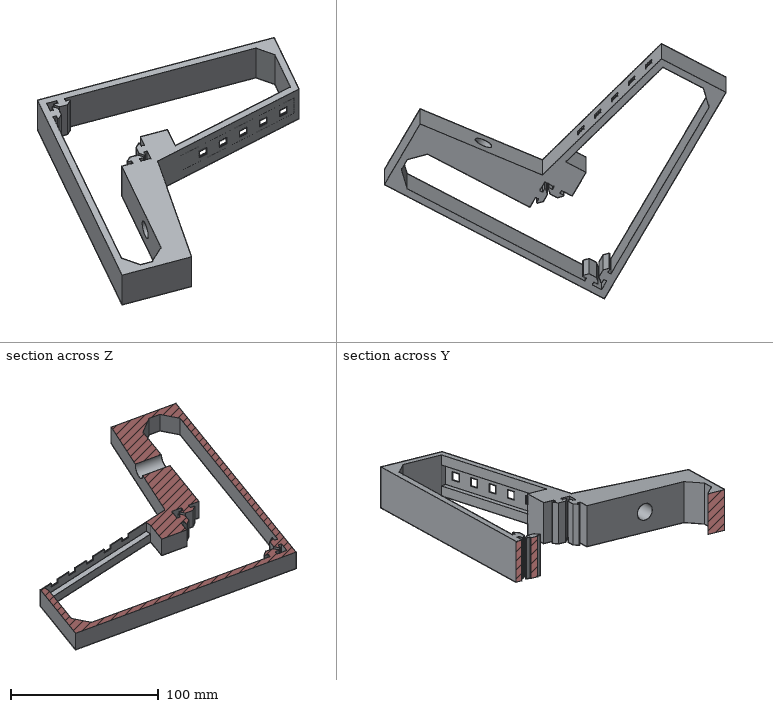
import cadquery as cq
import math

side = 170.0
height = 30.0
wall = 5.0
arm_end = 50.0
elbow_x = 79.9
elbow_y = 57.8
corner_cut = 10.0

block_left = 54.9
block_top = 73.8
block_bottom = 54.2
ledge_left = 76.0
ledge_bottom = 33.3

hook_offset = 10.0
neck_width = 5.8
neck_length = 2.2
head_width = 11.5
head_flat = 5.8
head_depth = 3.7
head_bevel = (head_width - head_flat) / 2
overlap = 0.8

channel_height = 15.3
channel_depth = 4.0
window_size = 6.0
window_count = 5
window_pitch = 16.5
first_window = 9.0

hole_diameter = 12.0
hole_x = 123.2

inner_far = side - wall
slant_length = math.hypot(elbow_x - arm_end, side - elbow_y)
slant_x = (elbow_x - arm_end) / slant_length
slant_y = -(side - elbow_y) / slant_length


def slant_inner_x(y):
    """X of the inner face of the slanted wall at a given Y."""
    outer_x = arm_end + (side - y) * slant_x / -slant_y
    return outer_x - wall / -slant_y


def make_frame():
    outer = [
        (0, 0),
        (side, 0),
        (side, arm_end),
        (elbow_x, elbow_y),
        (arm_end, side),
        (0, side),
    ]
    inner = [
        (wall, wall),
        (inner_far - corner_cut, wall),
        (inner_far, wall + corner_cut),
        (inner_far, ledge_bottom - corner_cut),
        (inner_far - corner_cut, ledge_bottom),
        (ledge_left, ledge_bottom),
        (ledge_left, block_bottom),
        (block_left, block_bottom),
        (block_left, block_top),
        (slant_inner_x(block_top), block_top),
        (slant_inner_x(inner_far), inner_far),
        (wall + corner_cut, inner_far),
        (wall, inner_far - corner_cut),
    ]
    body = cq.Workplane("XY").polyline(outer).close().extrude(height)
    opening = cq.Workplane("XY").polyline(inner).close().extrude(height)
    return body.cut(opening)


def make_hook(x, y, angle):
    """Hook rooted at (x, y); at zero angle it points along +Y."""
    head_top = neck_length + head_depth
    right_half = [
        (neck_width / 2, -overlap),
        (neck_width / 2, neck_length),
        (head_width / 2, neck_length),
        (head_width / 2, head_top - head_bevel),
        (head_flat / 2, head_top),
    ]
    left_half = [(-px, py) for px, py in reversed(right_half)]
    hook = cq.Workplane("XY").polyline(right_half + left_half).close().extrude(height)
    return hook.rotate((0, 0, 0), (0, 0, 1), angle).translate((x, y, 0))


def make_slant_cutters():
    """Channel on the inner face of the slanted wall, with windows through it."""
    start = cq.Vector(slant_inner_x(inner_far), inner_far, height / 2)
    plane = cq.Plane(origin=start, xDir=(slant_x, slant_y, 0), normal=(slant_y, -slant_x, 0))
    channel_length = (inner_far - block_top) / -slant_y
    channel = (
        cq.Workplane(plane)
        .center(channel_length / 2, 0)
        .rect(channel_length, channel_height)
        .extrude(-channel_depth)
    )
    window_centres = [(first_window + i * window_pitch, 0) for i in range(window_count)]
    windows = (
        cq.Workplane(plane)
        .pushPoints(window_centres)
        .rect(window_size, window_size)
        .extrude(-2 * wall)
    )
    return channel.union(windows)


result = make_frame()

hooks = [
    (wall + hook_offset, wall, 0),
    (wall, wall + hook_offset, -90),
    (ledge_left - hook_offset, block_bottom, 180),
    (ledge_left, block_bottom - hook_offset, 90),
]
for hook_x, hook_y, hook_angle in hooks:
    result = result.union(make_hook(hook_x, hook_y, hook_angle))

result = result.cut(make_slant_cutters())

cross_hole = (
    cq.Workplane("XZ", origin=(hole_x, ledge_bottom, height / 2))
    .circle(hole_diameter / 2)
    .extrude(-(elbow_y - ledge_bottom))
)
result = result.cut(cross_hole)